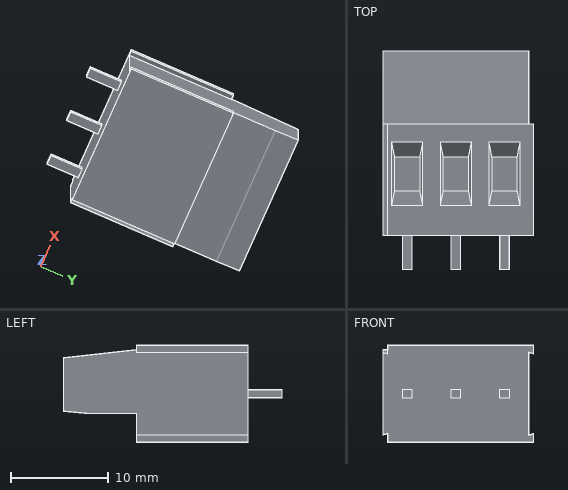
import cadquery as cq

pole_pitch = 5.0
pole_count = 3
housing_width = pole_pitch * pole_count
housing_depth = 11.5
housing_height = 10.0

interlock_reach = 0.5
tongue_inset = 0.75
root_inset = 0.9

nose_length = 7.5
nose_root_top = 9.53
nose_tip_top = 8.7
nose_root_bottom = 2.95
nose_tip_bottom = 3.2
nose_bevel_length = 2.6

pocket_center_y = 6.35
pocket_mouth_width = 3.2
pocket_mouth_length = 6.5
pocket_floor_width = 2.6
pocket_floor_length = 3.5
pocket_depth = 1.5

pin_width = 1.0
pin_height = 0.84
pin_length = 3.5

pole_centers = [pole_pitch * (pole + 0.5) for pole in range(pole_count)]


def make_housing():
    """Extrude the cross-section with a left tongue and a matching right groove."""
    left = interlock_reach
    right = left + housing_width
    outline = [
        (left, 0),
        (right, 0),
        (right, root_inset),
        (right - interlock_reach, tongue_inset),
        (right - interlock_reach, housing_height - tongue_inset),
        (right, housing_height - root_inset),
        (right, housing_height),
        (left, housing_height),
        (left, housing_height - root_inset),
        (0, housing_height - tongue_inset),
        (0, tongue_inset),
        (left, root_inset),
    ]
    return cq.Workplane("XZ").polyline(outline).close().extrude(-housing_depth)


def make_nose():
    """Extrude the nose's tapered side profile across the housing width."""
    tip_y = housing_depth + nose_length
    profile = [
        (housing_depth, nose_root_bottom),
        (tip_y - nose_bevel_length, nose_root_bottom),
        (tip_y, nose_tip_bottom),
        (tip_y, nose_tip_top),
        (housing_depth, nose_root_top),
    ]
    return cq.Workplane("YZ").polyline(profile).close().extrude(housing_width)


def make_pocket(center_x):
    """Loft from the wide mouth in the top face down to the smaller floor."""
    return (
        cq.Workplane("XY", origin=(center_x, pocket_center_y, housing_height))
        .rect(pocket_mouth_width, pocket_mouth_length)
        .workplane(offset=-pocket_depth)
        .rect(pocket_floor_width, pocket_floor_length)
        .loft(ruled=True)
    )


def make_pin(center_x):
    """Straight rectangular pin standing out of the pin face at mid-height."""
    return (
        cq.Workplane("XZ", origin=(center_x, 0, housing_height / 2))
        .rect(pin_width, pin_height)
        .extrude(pin_length)
    )


result = make_housing().union(make_nose())
for pole_x in pole_centers:
    result = result.cut(make_pocket(pole_x))
    result = result.union(make_pin(pole_x))